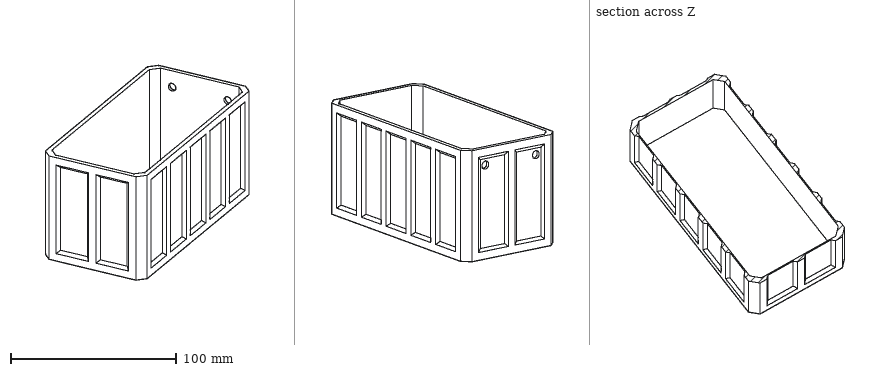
import cadquery as cq

width = 70.0
length = 140.0
height = 70.0
wall = 3.0
floor = 3.0
corner_chamfer = 5.0

panel_margin = 10.1
panel_gap = 5.0
panel_bottom = 5.0
panel_depth = 2.0
back_panel_depth = 1.0
panel_bevel = 2.0
end_panel_count = 2
side_panel_count = 5

hole_diameter = 5.0
hole_spacing = 38.2
hole_drop = 11.0


def chamfered_block(size_x, size_y, size_z):
    """Upright block, base at Z = 0, with its four vertical edges chamfered."""
    block = cq.Workplane("XY").box(size_x, size_y, size_z, centered=(True, True, False))
    return block.edges("|Z").chamfer(corner_chamfer)


def panel_row(normal, face_distance, face_width, count, depth=panel_depth):
    """Row of tapered panel cutters sunk into the side face with the given outward normal."""
    panel_width = (face_width - 2 * panel_margin - (count - 1) * panel_gap) / count
    panel_height = height - 2 * panel_bottom
    pitch = panel_width + panel_gap
    outward = cq.Vector(*normal)
    along = cq.Vector(0, 0, 1).cross(outward)
    cutters = cq.Workplane("XY")
    for index in range(count):
        offset = (index - (count - 1) / 2) * pitch
        centre = outward * face_distance + along * offset + cq.Vector(0, 0, height / 2)
        cutter = (
            cq.Workplane(cq.Plane(origin=centre, xDir=along, normal=outward))
            .rect(panel_width, panel_height)
            .workplane(offset=-depth)
            .rect(panel_width - 2 * panel_bevel, panel_height - 2 * panel_bevel)
            .loft(ruled=True)
        )
        cutters = cutters.add(cutter)
    return cutters.combine()


tub = chamfered_block(width, length, height)
cavity = chamfered_block(width - 2 * wall, length - 2 * wall, height - floor)
tub = tub.cut(cavity.translate((0, 0, floor)))

tub = tub.cut(panel_row((0, -1, 0), length / 2, width, end_panel_count))
tub = tub.cut(panel_row((0, 1, 0), length / 2, width, end_panel_count, back_panel_depth))
for direction in (-1, 1):
    tub = tub.cut(panel_row((direction, 0, 0), width / 2, length, side_panel_count))

holes = (
    cq.Workplane("XZ", origin=(0, length / 2, height - hole_drop))
    .pushPoints([(-hole_spacing / 2, 0), (hole_spacing / 2, 0)])
    .circle(hole_diameter / 2)
    .extrude(2 * wall)
)
result = tub.cut(holes)